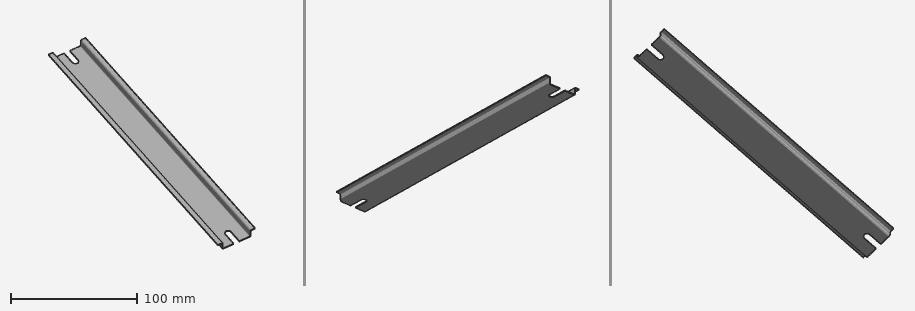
import cadquery as cq

length = 251.0
width = 35.0
height = 7.5
thickness = 1.0
channel_width = 27.0
inner_radius = 0.8
outer_radius = inner_radius + thickness

slot_width = 5.3
slot_depth = 15.0


def make_rail():
    """Extrude the bent-sheet section and round its bends."""
    half_width = width / 2
    half_outer = channel_width / 2
    half_inner = half_outer - thickness
    right_half = [
        (half_outer, 0),
        (half_outer, height - thickness),
        (half_width, height - thickness),
        (half_width, height),
        (half_inner, height),
        (half_inner, thickness),
    ]
    left_half = [(-y, z) for y, z in reversed(right_half)]
    rail = (
        cq.Workplane("YZ")
        .polyline(right_half + left_half)
        .close()
        .extrude(length / 2, both=True)
    )

    def round_bend(body, y, z, radius):
        """Fillet the mirrored pair of lengthwise edges at (+y, z) and (-y, z)."""
        margin = thickness / 4
        right = cq.selectors.BoxSelector(
            (-length, y - margin, z - margin), (length, y + margin, z + margin)
        )
        left = cq.selectors.BoxSelector(
            (-length, -y - margin, z - margin), (length, -y + margin, z + margin)
        )
        return body.edges("|X").edges(right + left).fillet(radius)

    rail = round_bend(rail, half_outer, 0, outer_radius)
    rail = round_bend(rail, half_inner, height, outer_radius)
    rail = round_bend(rail, half_inner, thickness, inner_radius)
    return round_bend(rail, half_outer, height - thickness, inner_radius)


def make_end_slot(side):
    """Cutter for the slot at one end; side is -1 or +1 along X."""
    return (
        cq.Workplane("XY")
        .center(side * length / 2, 0)
        .slot2D(2 * slot_depth, slot_width)
        .extrude(height)
    )


result = make_rail()
for side in (-1, 1):
    result = result.cut(make_end_slot(side))